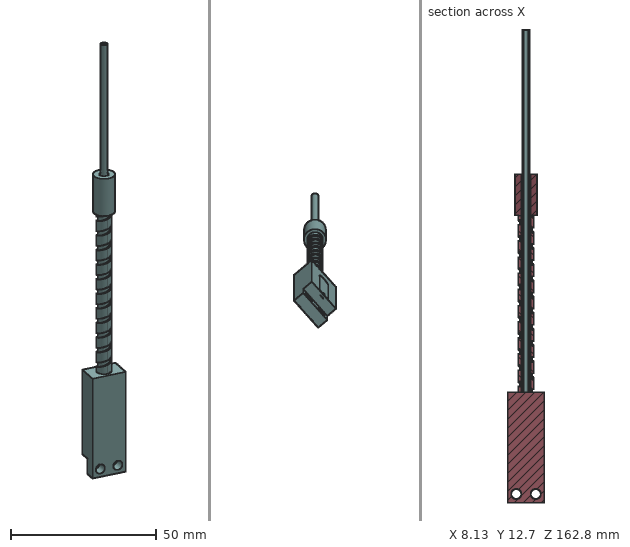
import cadquery as cq

housing_thickness = 8.13
housing_width = 12.7
housing_height = 38.1
foot_thickness = 4.2
foot_height = 5.84
mounting_hole_diameter = 3.4
mounting_hole_spacing = 6.7
mounting_hole_height = 3.05

window_width = 4.5
window_bottom = 6.15
window_top = 29.9
window_corner_radius = 1.9
window_depth = 1.0
indicator_diameter = 0.9
indicator_offset = 1.65

conduit_length = 60.8
conduit_diameter = 5.5
groove_width = 1.7
groove_depth = 0.55
groove_pitch = 5.56
groove_cutter_margin = 0.5
groove_front_height = 2.85

ferrule_length = 14.2
ferrule_diameter = 7.62
bore_diameter = 3.2
cable_diameter = 2.5
cable_bore_diameter = 1.4
overall_height = 162.78

window_face_x = -housing_thickness / 2
window_height = window_top - window_bottom
indicator_height = window_bottom + indicator_offset
ferrule_base = housing_height + conduit_length
cable_length = overall_height - housing_height


def window_solid():
    """Round-cornered plate lying flush with the -X face of the housing."""
    return (
        cq.Workplane("XY")
        .box(window_depth, window_width, window_height, centered=(False, True, False))
        .edges("|X")
        .fillet(window_corner_radius)
        .translate((window_face_x, 0, window_bottom))
    )


def indicator_solid():
    """Small round plug as deep as the window."""
    return (
        cq.Workplane("YZ", origin=(window_face_x, 0, indicator_height))
        .circle(indicator_diameter / 2)
        .extrude(window_depth)
    )


def housing_solid():
    block = cq.Workplane("XY").box(
        housing_thickness, housing_width, housing_height, centered=(True, True, False)
    )
    foot_step = (
        cq.Workplane("XY")
        .box(housing_thickness - foot_thickness, housing_width, foot_height, centered=(False, True, False))
        .translate((window_face_x, 0, 0))
    )
    mounting_holes = (
        cq.Workplane("YZ", origin=(window_face_x, 0, mounting_hole_height))
        .pushPoints([(side * mounting_hole_spacing / 2, 0) for side in (-1, 1)])
        .circle(mounting_hole_diameter / 2)
        .extrude(housing_thickness)
    )
    return block.cut(foot_step).cut(mounting_holes).cut(window_solid())


def tube_solid(diameter, inner_diameter, base, length):
    """Vertical tube centred on the Z axis."""
    return (
        cq.Workplane("XY", origin=(0, 0, base))
        .circle(diameter / 2)
        .circle(inner_diameter / 2)
        .extrude(length)
    )


def groove_cutter():
    """Rectangular section swept along a helix and trimmed flush with the conduit ends."""
    floor_radius = conduit_diameter / 2 - groove_depth
    section_depth = groove_depth + groove_cutter_margin
    start = housing_height + groove_front_height + groove_pitch / 4 - 2 * groove_pitch
    helix_height = conduit_length + 3 * groove_pitch
    helix = cq.Wire.makeHelix(groove_pitch, helix_height, floor_radius, cq.Vector(0, 0, start))
    section = cq.Workplane("XZ", origin=(floor_radius + section_depth / 2, 0, start))
    thread = section.rect(section_depth, groove_width).sweep(cq.Workplane(obj=helix), isFrenet=True)
    conduit_span = (
        cq.Workplane("XY", origin=(0, 0, housing_height))
        .circle(conduit_diameter / 2 + 2 * groove_cutter_margin)
        .extrude(conduit_length)
    )
    return thread.intersect(conduit_span)


def conduit_solid():
    return (
        tube_solid(conduit_diameter, bore_diameter, housing_height, conduit_length)
        .cut(groove_cutter())
    )


housing = housing_solid()
indicator = indicator_solid()
window = window_solid().cut(indicator)
conduit = conduit_solid()
ferrule = tube_solid(ferrule_diameter, bore_diameter, ferrule_base, ferrule_length)
cable = tube_solid(cable_diameter, cable_bore_diameter, housing_height, cable_length)

result = cq.Compound.makeCompound(
    [
        housing.val(),
        window.val(),
        indicator.val(),
        conduit.val(),
        ferrule.val(),
        cable.val(),
    ]
)